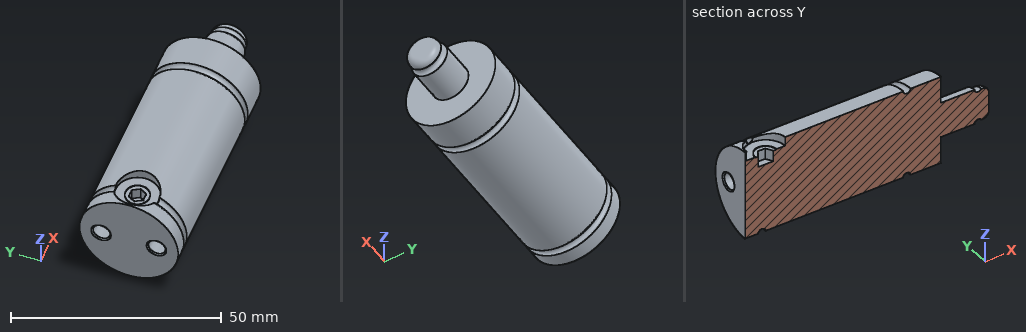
import cadquery as cq
import math

total_length = 70
body_length = 56.2
body_radius = 25.0 / 2
rod_radius = 10.0 / 2

groove_half_width = 1.05
groove_depth = 1.0
body_groove_centers = (4.9, 46.4)

rod_groove_center = total_length - 3.15
head_radius = 9.0 / 2
head_rounding = 1.95

port_x = 5.95
port_diameter = 11.0
port_floor_z = 10.0
plug_diameter = 6.0
plug_recess = 0.15
socket_across_flats = 3.65
socket_depth = 3.0

hole_spacing = 14
hole_radius = 2.2
hole_depth = 10.0
countersink_radius = 2.5
drill_half_angle = math.radians(59)


def make_body():
    return cq.Workplane("YZ").circle(body_radius).extrude(body_length)


def make_groove_cutter(center_x, surface_radius):
    """Ring with a rounded inner edge that cuts a groove into a round surface."""
    outside = surface_radius + groove_depth
    left = center_x - groove_half_width
    right = center_x + groove_half_width
    return (
        cq.Workplane("XY")
        .moveTo(left, outside)
        .lineTo(left, surface_radius)
        .threePointArc((center_x, surface_radius - groove_depth), (right, surface_radius))
        .lineTo(right, outside)
        .close()
        .revolve(360, (0, 0, 0), (1, 0, 0))
    )


def make_rod():
    shank = (
        cq.Workplane("YZ", origin=(body_length, 0, 0))
        .circle(rod_radius)
        .extrude(rod_groove_center - body_length)
    )
    head = (
        cq.Workplane("YZ", origin=(rod_groove_center, 0, 0))
        .circle(head_radius)
        .extrude(total_length - rod_groove_center)
        .faces(">X")
        .edges()
        .fillet(head_rounding)
    )
    return shank.union(head).cut(make_groove_cutter(rod_groove_center, rod_radius))


def make_port_cutter():
    plug_top_z = port_floor_z - plug_recess
    socket_corner_diameter = socket_across_flats / math.cos(math.pi / 6)
    pocket = (
        cq.Workplane("XY", origin=(port_x, 0, port_floor_z))
        .circle(port_diameter / 2)
        .extrude(body_radius - port_floor_z)
    )
    recess = (
        cq.Workplane("XY", origin=(port_x, 0, plug_top_z))
        .circle(plug_diameter / 2)
        .extrude(plug_recess)
    )
    socket = (
        cq.Workplane("XY", origin=(port_x, 0, plug_top_z - socket_depth))
        .polygon(6, socket_corner_diameter)
        .extrude(socket_depth)
    )
    return pocket.union(recess).union(socket)


def make_mounting_hole(center_y):
    """Countersunk blind hole with a conical drill point, along +X."""
    countersink_depth = countersink_radius - hole_radius
    point_length = hole_radius / math.tan(drill_half_angle)
    return (
        cq.Workplane("XY")
        .polyline([
            (0, 0),
            (0, countersink_radius),
            (countersink_depth, hole_radius),
            (hole_depth, hole_radius),
            (hole_depth + point_length, 0),
        ])
        .close()
        .revolve(360, (0, 0, 0), (1, 0, 0))
        .translate((0, center_y, 0))
    )


result = make_body().union(make_rod())
for groove_x in body_groove_centers:
    result = result.cut(make_groove_cutter(groove_x, body_radius))
result = result.cut(make_port_cutter())
for side in (-1, 1):
    result = result.cut(make_mounting_hole(side * hole_spacing / 2))